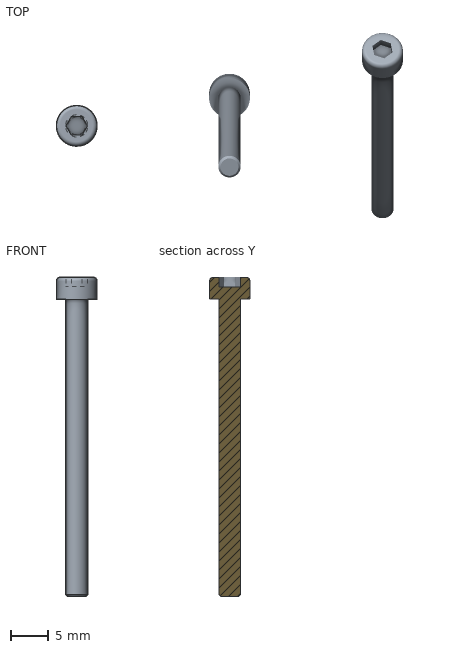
import cadquery as cq
import math

thread_diameter = 3.0
shank_length = 40.0
tip_chamfer = 0.3

head_diameter = 5.5
head_height = thread_diameter
head_fillet = head_diameter / 10

socket_across_flats = 2.5
socket_depth = 1.3


def make_head():
    """Cylindrical head with a rounded upper rim."""
    head = cq.Workplane("XY").circle(head_diameter / 2).extrude(head_height)
    return head.faces(">Z").edges().fillet(head_fillet)


def make_shank():
    """Plain shank below the head with a chamfered tip."""
    radius = thread_diameter / 2
    profile = (
        cq.Workplane("XZ")
        .lineTo(radius, 0)
        .lineTo(radius, tip_chamfer - shank_length)
        .lineTo(radius - tip_chamfer, -shank_length)
        .lineTo(0, -shank_length)
        .close()
    )
    return profile.revolve(360, (0, 0, 0), (0, 1, 0))


def make_socket():
    """Hexagonal key socket with two corners on the X axis."""
    across_corners = socket_across_flats / math.cos(math.radians(30))
    floor = cq.Workplane("XY").workplane(offset=head_height - socket_depth)
    return floor.polygon(6, across_corners).extrude(socket_depth)


result = make_head().union(make_shank()).cut(make_socket())